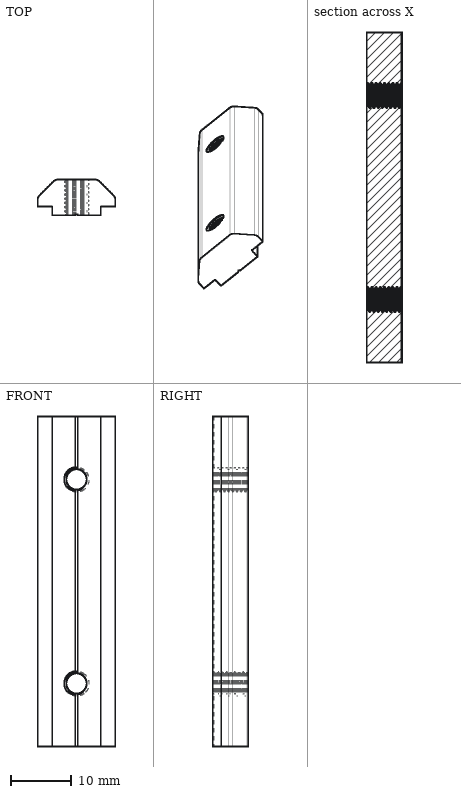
import cadquery as cq
import math

length = 55.0
width = 13.0
depth = 6.0
foot_width = 8.1
foot_depth = 1.5
slope_top_half_width = 3.5
slope_base_height = 3.0
corner_radius = 1.0
edge_margin = 0.05

groove_width = 0.4
groove_depth = 0.19

hole_spacing = 34.0
minor_diameter = 3.35
major_diameter = 4.1
pitch = 0.7
groove_start_angle = 195.0
mouth_width = 0.75 * pitch
root_width = pitch / 8
thread_overlap = 0.1


def make_body():
    half_width = width / 2
    half_foot = foot_width / 2
    groove_half_width = groove_width / 2
    body = (
        cq.Workplane("XY")
        .moveTo(-half_foot, 0)
        .lineTo(-groove_half_width, 0)
        .threePointArc((0, groove_depth), (groove_half_width, 0))
        .lineTo(half_foot, 0)
        .lineTo(half_foot, foot_depth)
        .lineTo(half_width, foot_depth)
        .lineTo(half_width, slope_base_height)
        .lineTo(slope_top_half_width, depth)
        .lineTo(-slope_top_half_width, depth)
        .lineTo(-half_width, slope_base_height)
        .lineTo(-half_width, foot_depth)
        .lineTo(-half_foot, foot_depth)
        .close()
        .extrude(length)
    )
    rounded_edges = body.edges("|Z").edges(cq.selectors.BoxSelector(
        (-width, foot_depth + edge_margin, 0),
        (width, depth + edge_margin, length),
    ))
    return rounded_edges.fillet(corner_radius)


def make_thread_cutter():
    """Cutter for the thread groove, along +Z from below zero to beyond the depth."""
    minor_radius = minor_diameter / 2
    major_radius = major_diameter / 2
    flank_slope = (mouth_width - root_width) / 2 / (major_radius - minor_radius)
    inner_half_width = mouth_width / 2 + thread_overlap * flank_slope
    turns = math.ceil(depth / pitch) + 2
    path = cq.Workplane(cq.Wire.makeHelix(pitch, turns * pitch, minor_radius))
    cutter = (
        cq.Workplane("XZ")
        .polyline([
            (minor_radius - thread_overlap, -inner_half_width),
            (major_radius, -root_width / 2),
            (major_radius, root_width / 2),
            (minor_radius - thread_overlap, inner_half_width),
        ])
        .close()
        .sweep(path, isFrenet=True)
    )
    return cutter.translate((0, 0, -pitch))


def cut_threaded_holes(body):
    thread = (
        make_thread_cutter()
        .rotate((0, 0, 0), (0, 0, 1), -groove_start_angle)
        .rotate((0, 0, 0), (1, 0, 0), -90)
    )
    bore = cq.Workplane("XZ").circle(minor_diameter / 2).extrude(-depth)
    for side in (-1, 1):
        position = (0, 0, length / 2 + side * hole_spacing / 2)
        body = body.cut(thread.translate(position))
        body = body.cut(bore.translate(position))
    return body


result = cut_threaded_holes(make_body())